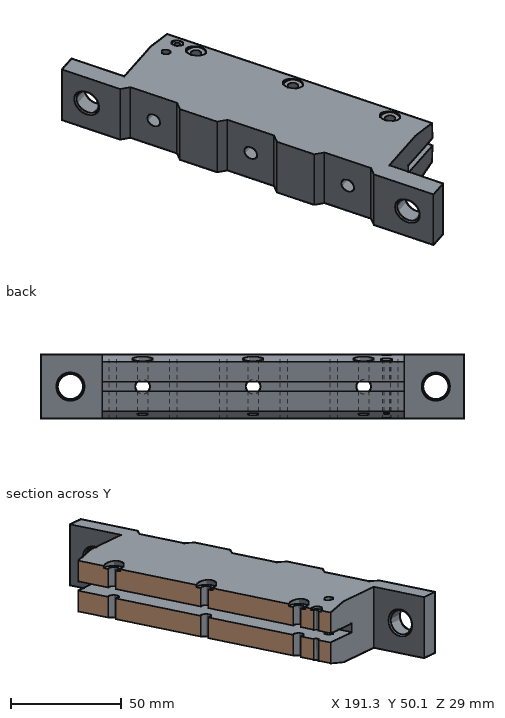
import cadquery as cq

length = 191.3
depth = 50.1
height = 29.0
feature_shift = -0.29
body_width = 136.4
flange_thickness = 9.2

taper_start_y = 34.0
taper_drop = 3.5
jaw_face_setback = 0.5
slot_height = 4.2
slot_depth = 23.0

station_pitch = 50.0
station_xs = [feature_shift + step * station_pitch for step in (-1, 0, 1)]
notch_floor_width = 24.0
notch_depth = 3.5
feed_hole_diameter = 6.5

screw_y = 43.2
screw_hole_diameter = 4.8
screw_head_diameter = 9.2
screw_head_depth = 3.5

mount_spacing = 165.0
mount_diameter = 11.3
mount_chamfer = 0.8

pin_offset = 10.3
pin_x = station_xs[0] - pin_offset
pin_hole_diameter = 4.0
stepped_hole_y = 44.5
stepped_hole_diameter = 2.5
stepped_hole_head_diameter = 5.4
stepped_hole_head_depth = 3.0

half_height = height / 2
half_slot = slot_height / 2
jaw_edge_z = half_height - taper_drop
slot_floor_y = depth - slot_depth


def make_flange():
    return cq.Workplane("XY").box(length, flange_thickness, height, centered=(True, False, True))


def make_body():
    """Extrude the slotted, tapered side profile along X."""
    upper = [
        (0, half_height),
        (taper_start_y, half_height),
        (depth - jaw_face_setback, jaw_edge_z),
        (depth, half_slot),
        (slot_floor_y, half_slot),
    ]
    lower = [(y, -z) for y, z in reversed(upper)]
    profile = cq.Workplane("YZ").polyline(upper + lower).close()
    return profile.extrude(body_width / 2, both=True).translate((feature_shift, 0, 0))


def make_notch(x):
    """Full-height notch in the mounting face with 45 degree flanks."""
    half_floor = notch_floor_width / 2
    half_mouth = half_floor + notch_depth
    outline = [
        (x - half_mouth, 0),
        (x - half_floor, notch_depth),
        (x + half_floor, notch_depth),
        (x + half_mouth, 0),
    ]
    return cq.Workplane("XY").polyline(outline).close().extrude(half_height, both=True)


def hole_along_y(x, diameter, reach):
    return cq.Workplane("XZ").center(x, 0).circle(diameter / 2).extrude(-reach)


def hole_along_z(x, y, diameter, bottom_z):
    """Vertical hole from above the part down to bottom_z."""
    plane = cq.Workplane("XY", origin=(x, y, bottom_z))
    return plane.circle(diameter / 2).extrude(half_height - bottom_z)


def make_mount_hole(x):
    """Flange hole chamfered at both ends."""
    bore = hole_along_y(x, mount_diameter, flange_thickness)
    mouth = mount_diameter / 2 + mount_chamfer
    front = cq.Solid.makeCone(
        mouth, mount_diameter / 2, mount_chamfer, cq.Vector(x, 0, 0), cq.Vector(0, 1, 0)
    )
    back = cq.Solid.makeCone(
        mouth, mount_diameter / 2, mount_chamfer, cq.Vector(x, flange_thickness, 0), cq.Vector(0, -1, 0)
    )
    return bore.union(cq.Workplane(front)).union(cq.Workplane(back))


result = make_flange().union(make_body())

for station_x in station_xs:
    result = result.cut(make_notch(station_x))
    result = result.cut(hole_along_y(station_x, feed_hole_diameter, slot_floor_y))
    result = result.cut(hole_along_z(station_x, screw_y, screw_hole_diameter, -half_height))
    result = result.cut(
        hole_along_z(station_x, screw_y, screw_head_diameter, half_height - screw_head_depth)
    )

for side in (-1, 1):
    result = result.cut(make_mount_hole(feature_shift + side * mount_spacing / 2))

result = result.cut(hole_along_z(pin_x, taper_start_y, pin_hole_diameter, -half_height))
result = result.cut(hole_along_z(pin_x, stepped_hole_y, stepped_hole_diameter, -half_height))
result = result.cut(
    hole_along_z(pin_x, stepped_hole_y, stepped_hole_head_diameter, half_height - stepped_hole_head_depth)
)